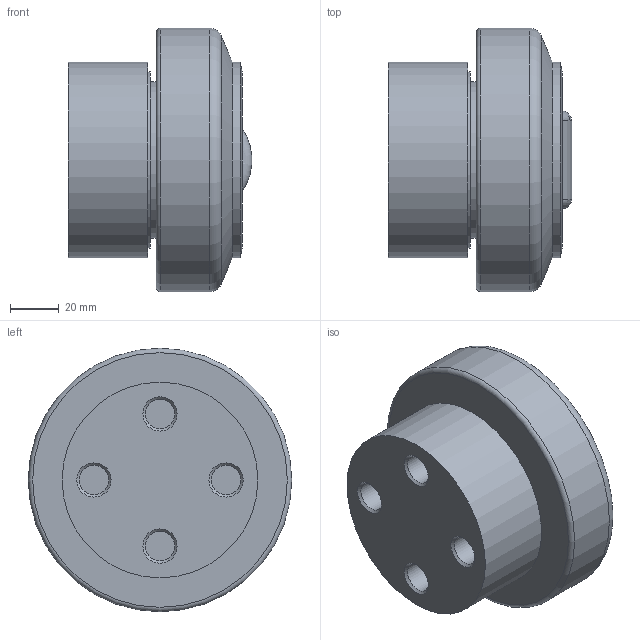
import cadquery as cq
import math

hub_end = 32.5
collar_end = 33.5
rim_start = 35.9
cone_end = 67.0
cap_edge = 70.3
cap_face = 71.0
overall_length = 75.0

hub_radius = 40.0
collar_radius = 36.0
neck_radius = 31.9
rim_radius = 53.85
cap_radius = 40.0
cap_face_radius = 36.0

cone_angle = 67.0
rim_back_fillet = 1.8
rim_front_fillet = 5.0

rib_length = 40.0
rib_chord = 25.8
rib_end_fillet = 4.0
rib_height = overall_length - cap_face
rib_radius = ((rib_chord / 2) ** 2 + rib_height ** 2) / (2 * rib_height)

hole_count = 4
hole_circle_radius = 27.0
hole_diameter = 12.0
hole_mouth_diameter = 14.0
hole_chamfer = (hole_mouth_diameter - hole_diameter) / 2
hole_depth = 25.0


def turned_body():
    """Hub, collar, neck, rim and front cap as one revolved profile about X."""
    slope = math.radians(cone_angle)
    back_tangent_radius = rim_radius - rim_back_fillet
    back_mid_offset = rim_back_fillet * (1 - math.cos(math.pi / 4))

    corner = cone_end - (rim_radius - cap_radius) / math.tan(slope)
    fillet_start = corner - rim_front_fillet * math.tan(slope / 2)
    fillet_centre_radius = rim_radius - rim_front_fillet

    def fillet_point(angle):
        return (
            fillet_start + rim_front_fillet * math.sin(angle),
            fillet_centre_radius + rim_front_fillet * math.cos(angle),
        )

    profile = (
        cq.Workplane("XY")
        .moveTo(0, 0)
        .lineTo(0, hub_radius)
        .lineTo(hub_end, hub_radius)
        .lineTo(hub_end, collar_radius)
        .lineTo(collar_end, collar_radius)
        .lineTo(collar_end, neck_radius)
        .lineTo(rim_start, neck_radius)
        .lineTo(rim_start, back_tangent_radius)
        .threePointArc(
            (rim_start + back_mid_offset, rim_radius - back_mid_offset),
            (rim_start + rim_back_fillet, rim_radius),
        )
        .lineTo(fillet_start, rim_radius)
        .threePointArc(fillet_point(slope / 2), fillet_point(slope))
        .lineTo(cone_end, cap_radius)
        .lineTo(cap_edge, cap_radius)
        .lineTo(cap_face, cap_face_radius)
        .lineTo(cap_face, 0)
        .close()
    )
    return profile.revolve(360, (0, 0, 0), (1, 0, 0))


def rib():
    """Cylinder along Y with rounded ends; only its crown stands above the cap."""
    return (
        cq.Workplane("XZ")
        .center(overall_length - rib_radius, 0)
        .circle(rib_radius)
        .extrude(rib_length / 2, both=True)
        .faces("<Y or >Y")
        .edges()
        .fillet(rib_end_fillet)
    )


def mounting_holes():
    """Chamfered blind holes in the mounting face, on the Y and Z axes."""
    mouth_radius = hole_mouth_diameter / 2
    hole_radius = hole_diameter / 2
    cutter = (
        cq.Workplane("XY")
        .moveTo(0, 0)
        .lineTo(0, mouth_radius)
        .lineTo(hole_chamfer, hole_radius)
        .lineTo(hole_depth, hole_radius)
        .lineTo(hole_depth, 0)
        .close()
        .revolve(360, (0, 0, 0), (1, 0, 0))
        .translate((0, hole_circle_radius, 0))
    )
    cutters = cq.Workplane("XY")
    for index in range(hole_count):
        angle = index * 360 / hole_count
        cutters = cutters.add(cutter.rotate((0, 0, 0), (1, 0, 0), angle))
    return cutters.combine()


result = turned_body().union(rib()).cut(mounting_holes())